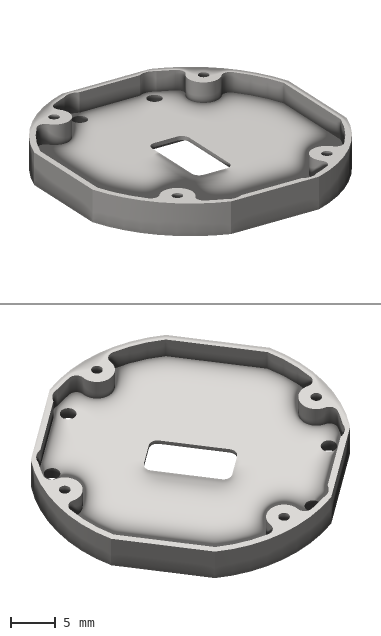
import cadquery as cq

side = 34.0
height = 4.0
disc_radius = 18.0

wall = 0.75
floor = 1.5
pocket_side = side - 2 * wall
pocket_radius = disc_radius - wall
pocket_depth = height - floor

boss_x = 12.4
boss_y = 10.0
boss_radius = 2.0
boss_hole_diameter = 1.3
boss_blend_radius = 1.0

floor_hole_x = 14.75
floor_hole_y = 5.0
floor_hole_diameter = 1.85
clearance_radius = 1.77

window_length = 10.0
window_width = 5.0
window_corner_radius = 1.0
lip_thickness = 0.5
recess_margin = 1.35

tolerance = 0.005


def four_corners(x, y):
    """Points mirrored about both the X and Y axes."""
    return [(sx * x, sy * y) for sx in (-1, 1) for sy in (-1, 1)]


def flatted_disc(radius, across_flats, thickness, base):
    """Disc with four flats, its underside at the given height."""
    plane = cq.Workplane("XY").workplane(offset=base)
    disc = plane.circle(radius).extrude(thickness)
    square = plane.rect(across_flats, across_flats).extrude(thickness)
    return disc.intersect(square)


def cylinders(points, radius, thickness, base):
    """Upright cylinders at the given points."""
    return cq.Workplane("XY").workplane(offset=base).pushPoints(points).circle(radius).extrude(thickness)


def rounded_block(length, width, corner_radius, thickness):
    """Rectangular block standing on Z = 0 with rounded vertical edges."""
    block = cq.Workplane("XY").rect(length, width).extrude(thickness)
    return block.edges("|Z").fillet(corner_radius)


def near_boss(edge):
    """True for an upright edge where a boss meets the pocket wall."""
    point = edge.Center()
    reach = ((abs(point.x) - boss_x) ** 2 + (abs(point.y) - boss_y) ** 2) ** 0.5
    return abs(reach - boss_radius) < tolerance


boss_points = four_corners(boss_x, boss_y)
floor_hole_points = four_corners(floor_hole_x, floor_hole_y)

pocket = flatted_disc(pocket_radius, pocket_side, pocket_depth, floor)
pocket = pocket.cut(cylinders(boss_points, boss_radius, pocket_depth, floor))
blend_edges = [edge for edge in pocket.edges("|Z").vals() if near_boss(edge)]
pocket = pocket.newObject(blend_edges).fillet(boss_blend_radius)
pocket = pocket.union(cylinders(floor_hole_points, clearance_radius, pocket_depth, floor))

result = flatted_disc(disc_radius, side, height, 0).cut(pocket)
result = result.cut(cylinders(boss_points, boss_hole_diameter / 2, height, 0))
result = result.cut(cylinders(floor_hole_points, floor_hole_diameter / 2, floor, 0))

window = rounded_block(window_length, window_width, window_corner_radius, floor)
recess_length = window_length + 2 * recess_margin
recess_width = window_width + 2 * recess_margin
recess = cq.Workplane("XY").rect(recess_length, recess_width).extrude(floor - lip_thickness)
result = result.cut(window).cut(recess)